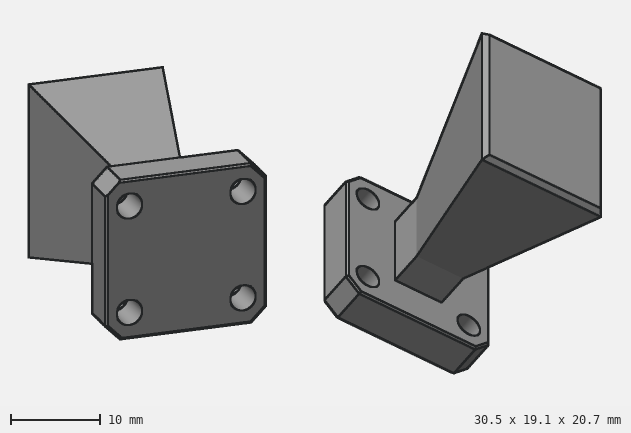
import cadquery as cq
import math

total_length = 30.48
horn_length = 21.3
flange_thickness = 4.826
flange_front = total_length - flange_thickness

neck_width = 6.2
neck_height = 9.6

horn_width = 15.9
horn_height = 20.67
mouth_bevel = 0.7

flange_side = 19.05
corner_cut = 1.78
edge_break = 0.25
hole_diameter = 3.0
hole_pitch_y = 13.46
hole_pitch_z = 12.7


def mouth_size(widest, throat):
    """Sharp-edged mouth size whose walls measure `widest` where the bevel ends."""
    slope = math.atan((widest - throat) / 2 / (horn_length - mouth_bevel))
    return widest + 2 * mouth_bevel * math.sin(slope)


def make_horn():
    mouth_width = mouth_size(horn_width, neck_width)
    mouth_height = mouth_size(horn_height, neck_height)
    horn = (
        cq.Workplane("YZ")
        .rect(mouth_width, mouth_height)
        .workplane(offset=horn_length)
        .rect(neck_width, neck_height)
        .loft(ruled=True)
    )
    return horn.faces("<X").chamfer(mouth_bevel)


def make_neck():
    neck_length = flange_front - horn_length
    neck_plane = cq.Workplane("YZ", origin=(horn_length, 0, 0))
    return neck_plane.rect(neck_width, neck_height).extrude(neck_length)


def break_rim(plate):
    """Break the front and back rims, leaving the back edge of the -Y, +Z corner cut sharp."""
    corner_direction = cq.Vector(0, -1, 1)
    corner_face = plate.faces(cq.selectors.DirectionMinMaxSelector(corner_direction))
    sharp_edge = corner_face.edges(">X").val()
    rim = plate.faces("<X or >X").edges()
    broken_edges = [edge for edge in rim.vals() if not edge.isSame(sharp_edge)]
    return rim.newObject(broken_edges).chamfer(edge_break)


def make_flange():
    plate = (
        cq.Workplane("YZ", origin=(flange_front, 0, 0))
        .rect(flange_side, flange_side)
        .extrude(flange_thickness)
        .edges("|X")
        .chamfer(corner_cut)
    )
    holes = (
        cq.Workplane("YZ", origin=(flange_front, 0, 0))
        .rect(hole_pitch_y, hole_pitch_z, forConstruction=True)
        .vertices()
        .circle(hole_diameter / 2)
        .extrude(flange_thickness)
    )
    return break_rim(plate).cut(holes)


result = make_horn().union(make_neck()).union(make_flange())